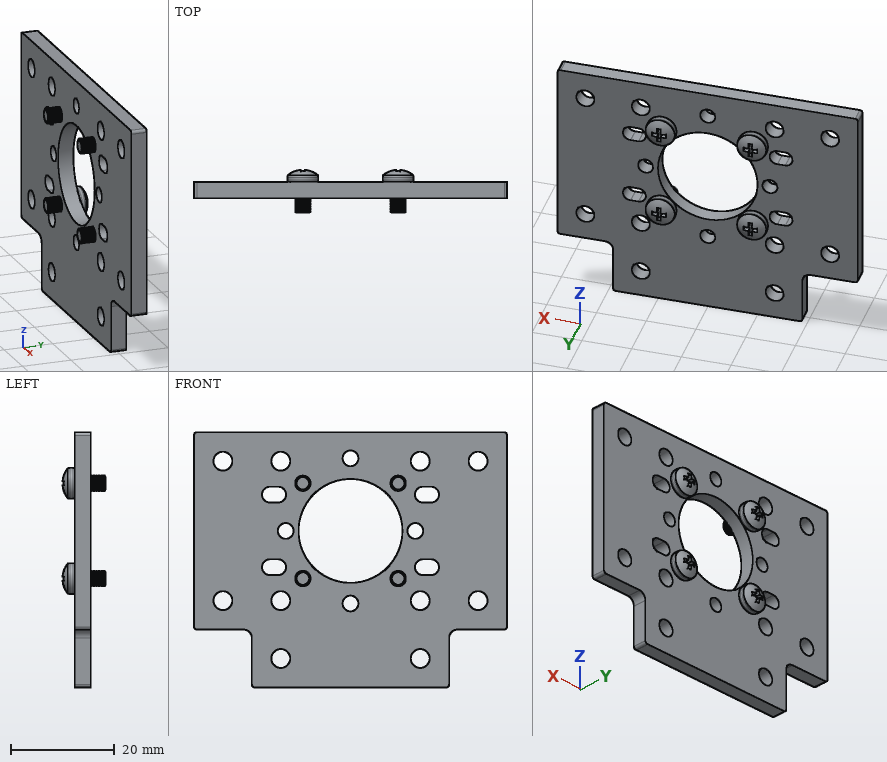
import cadquery as cq
import math


plate_thickness = 3.175
plate_half_width = 30.21
shoulder_half = 19.05
tab_bottom = -plate_half_width
outer_corner_radius = 0.6
inner_corner_radius = 1.6

bore_diameter = 20.0
grid_hole_diameter = 3.6
grid_hole_margin = 5.6
grid_inner = shoulder_half - grid_hole_margin
grid_outer = plate_half_width - grid_hole_margin
axis_hole_diameter = 3.0
axis_hole_x = 12.5
axis_hole_z = 14.0
slot_length = 4.6
slot_width = 3.0
slot_x = 14.75
slot_z = 7.0

screw_circle_radius = 13.0
screw_offset = screw_circle_radius * math.sin(math.radians(45))
screw_length = 6.0
thread_diameter = 3.0
thread_root_diameter = 2.4
thread_pitch = 0.5
thread_crest_width = thread_pitch / 4
thread_flank = (thread_pitch - thread_crest_width) / 2
head_diameter = 6.0
head_height = 2.37
head_base_diameter = 5.9
head_side_bottom = 0.36
head_side_top = 0.9
dome_start = 1.28
dome_start_diameter = 5.86
recess_span = 2.8
recess_width = 0.75
recess_depth = 1.2


def mirrored(x, z):
    """The four points at (+-x, +-z)."""
    return [(side * x, level * z) for side in (-1, 1) for level in (-1, 1)]


def plate_sketch():
    """Sketch plane on the plate's front face; a negative extrusion runs into the plate."""
    return cq.Workplane("XZ")


def through_holes(points, diameter):
    return plate_sketch().pushPoints(points).circle(diameter / 2).extrude(-plate_thickness)


def block(half_width, bottom, top):
    """Block of plate thickness, centred on x = 0, with its edges along Y rounded."""
    height = top - bottom
    return (
        plate_sketch()
        .center(0, bottom + height / 2)
        .rect(2 * half_width, height)
        .extrude(-plate_thickness)
        .edges("|Y")
        .fillet(outer_corner_radius)
    )


def make_blank():
    """Wide body with a narrower tab below it, blended where they meet."""
    body = block(plate_half_width, -shoulder_half, shoulder_half)
    tab = block(shoulder_half, tab_bottom, 0)
    blank = body.union(tab)
    for side in (-1, 1):
        tab_root = (side * shoulder_half, plate_thickness / 2, -shoulder_half)
        root_edge = cq.selectors.NearestToPointSelector(tab_root)
        blank = blank.edges("|Y").edges(root_edge).fillet(inner_corner_radius)
    return blank


def make_plate():
    """Plate with its bore, bolt holes, slots and screw holes."""
    grid_points = (
        mirrored(grid_inner, grid_inner)
        + mirrored(grid_outer, grid_inner)
        + [(-grid_inner, -grid_outer), (grid_inner, -grid_outer)]
    )
    axis_points = [(-axis_hole_x, 0), (axis_hole_x, 0), (0, -axis_hole_z), (0, axis_hole_z)]
    slots = (
        plate_sketch()
        .pushPoints(mirrored(slot_x, slot_z))
        .slot2D(slot_length, slot_width)
        .extrude(-plate_thickness)
    )
    return (
        make_blank()
        .cut(through_holes([(0, 0)], bore_diameter))
        .cut(through_holes(grid_points, grid_hole_diameter))
        .cut(through_holes(axis_points, axis_hole_diameter))
        .cut(through_holes(mirrored(screw_offset, screw_offset), thread_diameter))
        .cut(slots)
    )


def make_screw_blank():
    """Revolved screw on the Y axis: head above y = 0, ridged shank below."""
    root = thread_root_diameter / 2
    crest = thread_diameter / 2
    head = head_diameter / 2
    dome_edge = dome_start_diameter / 2

    dome_rise = head_height - dome_start
    dome_radius = (dome_edge**2 + dome_rise**2) / (2 * dome_rise)
    half_angle = math.asin(dome_edge / dome_radius) / 2
    dome_mid_x = dome_radius * math.sin(half_angle)
    dome_mid_y = head_height - dome_radius * (1 - math.cos(half_angle))

    profile = cq.Workplane("XY").moveTo(0, -screw_length).lineTo(root, -screw_length)
    for ridge in range(round(screw_length / thread_pitch)):
        ridge_bottom = -screw_length + ridge * thread_pitch
        profile = (
            profile.lineTo(crest, ridge_bottom + thread_flank)
            .lineTo(crest, ridge_bottom + thread_flank + thread_crest_width)
            .lineTo(root, ridge_bottom + thread_pitch)
        )
    return (
        profile.lineTo(head_base_diameter / 2, 0)
        .lineTo(head, head_side_bottom)
        .lineTo(head, head_side_top)
        .lineTo(dome_edge, dome_start)
        .threePointArc((dome_mid_x, dome_mid_y), (0, head_height))
        .close()
        .revolve(360, (0, 0, 0), (0, 1, 0))
    )


def make_screw():
    """Screw with a cross recess sunk into the top of its dome."""
    recess_size = (recess_span, 2 * recess_depth, recess_width)
    bar = cq.Workplane("XY").box(*recess_size).translate((0, head_height, 0))
    cross_bar = bar.rotate((0, 0, 0), (0, 1, 0), 90)
    return make_screw_blank().cut(bar).cut(cross_bar)


plate = make_plate()
screw = make_screw()
screws = [
    screw.translate((x, plate_thickness, z))
    for x, z in mirrored(screw_offset, screw_offset)
]

result = cq.Compound.makeCompound([plate.val(), *[each.val() for each in screws]])